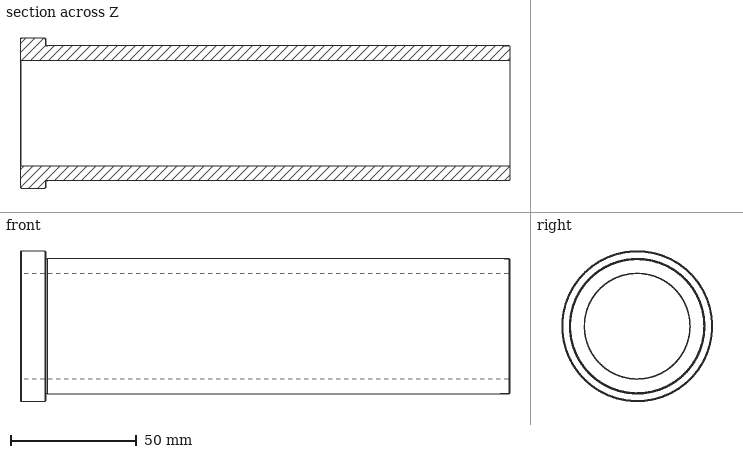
import cadquery as cq

length = 195.0
flange_diameter = 60.0
flange_thickness = 10.1
body_diameter = 54.0
bore_diameter = 42.0

groove_width = 0.8
groove_depth = 0.2

lead_length = 4.0
lead_drop = 0.1
edge_break = 0.4
bore_break = 0.2

flange_radius = flange_diameter / 2
body_radius = body_diameter / 2
bore_radius = bore_diameter / 2
lead_radius = body_radius - lead_drop
flange_face = -length / 2
shoulder = flange_face + flange_thickness
free_end = length / 2

sleeve = (
    cq.Workplane("XY")
    .moveTo(flange_face + bore_break, bore_radius)
    .lineTo(flange_face, bore_radius + bore_break)
    .lineTo(flange_face, flange_radius - edge_break)
    .lineTo(flange_face + edge_break, flange_radius)
    .lineTo(shoulder - edge_break, flange_radius)
    .lineTo(shoulder, flange_radius - edge_break)
    .lineTo(shoulder, body_radius - groove_depth)
    .lineTo(shoulder + groove_width, body_radius - groove_depth)
    .lineTo(shoulder + groove_width, body_radius)
    .lineTo(free_end - lead_length, body_radius)
    .lineTo(free_end - edge_break, lead_radius)
    .lineTo(free_end, lead_radius - edge_break)
    .lineTo(free_end, bore_radius)
    .close()
    .revolve(360, (0, 0, 0), (1, 0, 0))
)

result = sleeve